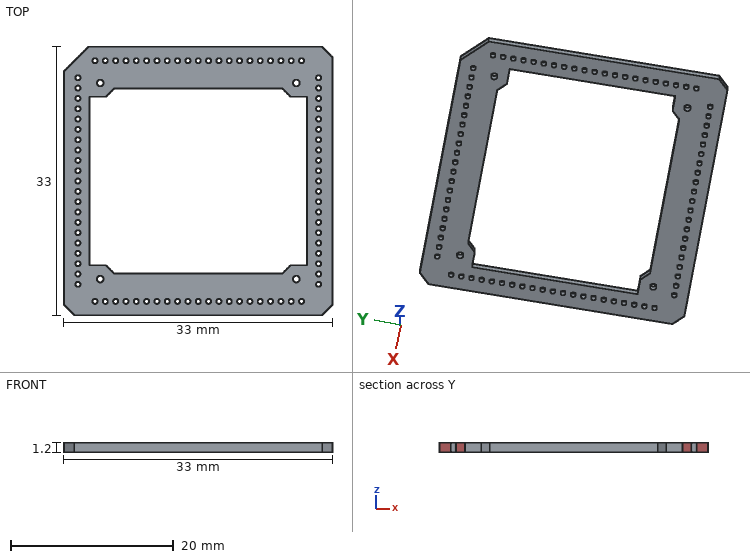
import cadquery as cq

side = 33.02
thickness = 1.2
corner_chamfer = 1.3
key_chamfer = 3.0

window_width = 26.68
window_height = 22.72
tab_spacing = 20.67
tab_length = 1.98

pin_diameter = 0.6
pins_per_row = 21
pin_row_length = 25.4
pin_row_spacing = 29.6
pin_pitch = pin_row_length / (pins_per_row - 1)

mount_diameter = 0.8
mount_spacing = 24.1


def plate_outline():
    half = side / 2
    return [
        (-half, half - key_chamfer),
        (-half + key_chamfer, half),
        (half - corner_chamfer, half),
        (half, half - corner_chamfer),
        (half, -half + corner_chamfer),
        (half - corner_chamfer, -half),
        (-half + corner_chamfer, -half),
        (-half, -half + corner_chamfer),
    ]


def window_outline():
    half_width = window_width / 2
    half_height = window_height / 2
    tab_y = tab_spacing / 2
    slope_start = half_width - tab_length
    slope_end = slope_start - (half_height - tab_y)
    upper = [
        (half_width, tab_y),
        (slope_start, tab_y),
        (slope_end, half_height),
        (-slope_end, half_height),
        (-slope_start, tab_y),
        (-half_width, tab_y),
    ]
    lower = [(-x, -y) for x, y in upper]
    return upper + lower


def pin_centres():
    row_offset = pin_row_spacing / 2
    centres = []
    for i in range(pins_per_row):
        along = i * pin_pitch - pin_row_length / 2
        for offset in (-row_offset, row_offset):
            centres.append((along, offset))
            centres.append((offset, along))
    return centres


def prism(outline):
    return cq.Workplane("XY").polyline(outline).close().extrude(thickness)


frame = prism(plate_outline()).cut(prism(window_outline()))
frame = frame.faces(">Z").workplane(origin=(0, 0, 0)).pushPoints(pin_centres()).hole(pin_diameter)
result = (
    frame.faces(">Z")
    .workplane(origin=(0, 0, 0))
    .rect(mount_spacing, mount_spacing, forConstruction=True)
    .vertices()
    .hole(mount_diameter)
)